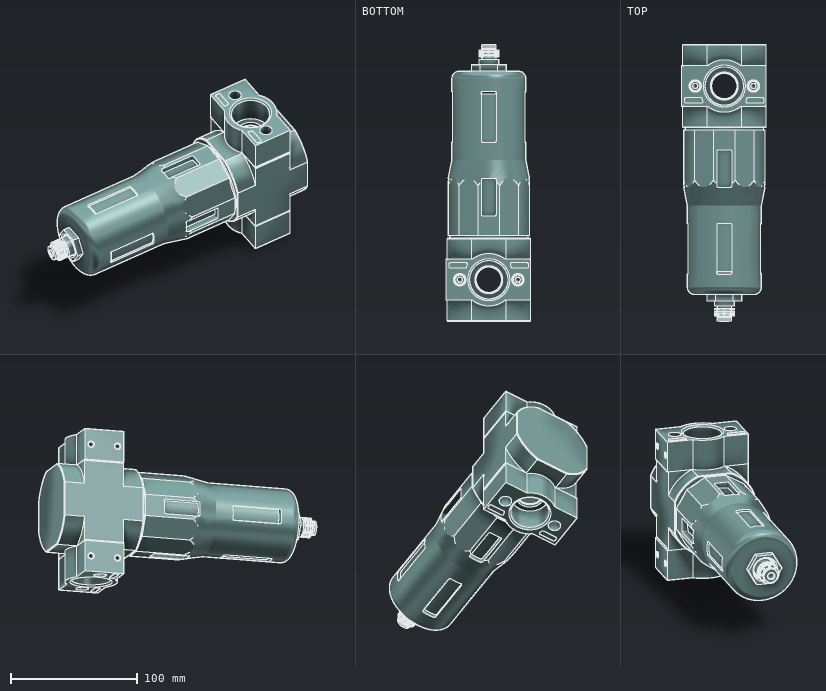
import cadquery as cq
import math


housing_half_x = 33.1
housing_half_z = 33.0
housing_half_y = 33.0
housing_flat_half = 13.5
housing_radius = math.hypot(housing_half_x, housing_flat_half)
housing_edge_chamfer = 0.6
block_half_y = 16.2
block_edge_chamfer = 0.8
neck_diameter = 62.0
neck_length = 1.8
housing_bore_diameter = 20.0

flange_x_min = -34.0
flange_x_max = 33.0
flange_top_z = 58.0
flange_height = flange_top_z - housing_half_z
flange_boss_radius = 20.75
port_diameter = 30.29
port_mouth_diameter = 33.2
port_depth = 22.0
flange_bore_diameter = 22.0

screw_offset_x = 23.0
screw_diameter = 5.0
screw_head_diameter = 8.5
screw_head_height = 5.0
screw_head_chamfer = 0.6
screw_socket_width = 4.0
screw_socket_depth = 2.5
screw_socket_tip_depth = 1.2
screw_recess_diameter = 9.8
screw_recess_depth = 15.0
screw_reach = 10.0

side_hole_offset_y = 11.0
side_hole_diameter = 4.13
side_hole_mouth_diameter = 5.2
side_hole_depth = 10.0
side_hole_tip_depth = 1.2

label_y_min = -13.5
label_y_max = -9.2
label_outer_x = 31.4
label_inner_x = 16.5
label_slant = 1.4
label_corner_radius = 1.2
label_depth = 0.2

guard_top_y = -housing_half_y - neck_length
guard_side_count = 12
guard_half_width = 32.25
guard_corner_radius = guard_half_width / math.cos(math.pi / guard_side_count)
taper_corner_y = -74.4
taper_end_y = -94.7
guard_radius = 29.4
guard_end_y = -165.0
guard_end_fillet = 6.0
window_width = 11.8
window_corner_radius = 1.2
upper_window_ends = (-50.5, -80.1)
lower_window_ends = (-108.7, -148.8)

bowl_radius = 27.8
bowl_end_y = -147.1

hex_width = 24.0
hex_end_y = -170.2
hex_bore_diameter = 18.0
hex_mouth_diameter = 20.2

overall_length = 219.22
drain_end_y = housing_half_y - overall_length
collar_diameter = 15.8
collar_end_y = -174.2
stem_diameter = 11.4
rib_count = 3
rib_start_y = -176.0
rib_width = 1.3
rib_pitch = 2.25
rib_notch_count = 8
rib_notch_width = 1.2
rib_notch_root_diameter = 13.0
nozzle_neck_diameter = 11.0
nozzle_neck_y = -182.2
nozzle_lip_diameter = 11.6
nozzle_lip_y = -183.0
nozzle_tip_y = -184.2
nozzle_tip_diameter = 11.4
nozzle_cone_height = 0.4
drain_bore_diameter = 5.0
drain_mouth_diameter = 6.0
drain_bore_depth = 12.0


def cylinder_along_y(diameter, y_start, y_end):
    """Round bar on the filter axis that runs from y_start down to y_end."""
    start = cq.Workplane("XZ", origin=(0, y_start, 0))
    return start.circle(diameter / 2).extrude(y_start - y_end)


def cone_along_y(start_diameter, end_diameter, y_start, y_end):
    """Cone frustum on the filter axis that runs from y_start down to y_end."""
    start = cq.Vector(0, y_start, 0)
    towards_drain = cq.Vector(0, -1, 0)
    length = y_start - y_end
    return cq.Workplane(
        cq.Solid.makeCone(start_diameter / 2, end_diameter / 2, length, start, towards_drain)
    )


def cone_down_z(start_diameter, end_diameter, height, z):
    """Cone frustum (or pointed cone) on the Z axis that runs down from height z."""
    start = cq.Vector(0, 0, z)
    down = cq.Vector(0, 0, -1)
    return cq.Workplane(cq.Solid.makeCone(start_diameter / 2, end_diameter / 2, height, start, down))


def screw_shape():
    """Socket head screw, pointing down, with its head in the top flange."""
    head_top = flange_top_z - screw_recess_depth
    head_bottom = head_top - screw_head_height
    tip_z = housing_half_z - screw_reach
    head = cq.Workplane(origin=(0, 0, head_bottom)).circle(screw_head_diameter / 2).extrude(screw_head_height)
    head = head.faces(">Z").edges().chamfer(screw_head_chamfer)
    shank = cq.Workplane(origin=(0, 0, tip_z)).circle(screw_diameter / 2).extrude(head_bottom - tip_z)
    socket_corner_width = screw_socket_width / math.cos(math.pi / 6)
    socket = (
        cq.Workplane(origin=(0, 0, head_top))
        .polygon(6, socket_corner_width)
        .extrude(-screw_socket_depth)
    )
    socket_tip = cone_down_z(screw_socket_width, 0, screw_socket_tip_depth, head_top - screw_socket_depth)
    return head.union(shank).cut(socket).cut(socket_tip)


def screw_hole():
    """Stepped hole that takes one flange screw."""
    head_bottom = flange_top_z - screw_recess_depth - screw_head_height
    tip_z = housing_half_z - screw_reach
    recess = (
        cq.Workplane(origin=(0, 0, head_bottom))
        .circle(screw_recess_diameter / 2)
        .extrude(flange_top_z - head_bottom)
    )
    shank_hole = cq.Workplane(origin=(0, 0, tip_z)).circle(screw_diameter / 2).extrude(head_bottom - tip_z)
    return recess.union(shank_hole)


def at_screw_positions(top_shape):
    """Copies of a top-flange shape at the four screw places."""
    copies = []
    for x in (-screw_offset_x, screw_offset_x):
        top_copy = top_shape.translate((x, 0, 0))
        copies.append(top_copy)
        copies.append(top_copy.mirror("XY"))
    return copies


def side_hole(y):
    """Blind threaded hole in the -X face of the top flange, with a chamfered mouth and a pointed end."""
    radius = side_hole_diameter / 2
    mouth_radius = side_hole_mouth_diameter / 2
    hole_z = flange_top_z - flange_height / 2
    profile = (
        cq.Workplane("XY", origin=(flange_x_min, y, hole_z))
        .moveTo(0, 0)
        .lineTo(0, mouth_radius)
        .lineTo(mouth_radius - radius, radius)
        .lineTo(side_hole_depth, radius)
        .lineTo(side_hole_depth + side_hole_tip_depth, 0)
        .close()
    )
    return profile.revolve(360, (0, 0, 0), (1, 0, 0))


def label_recess(side):
    """Shallow label field in the top flange face; side is -1 or +1 along X."""
    return (
        cq.Workplane(origin=(0, 0, flange_top_z))
        .moveTo(side * label_outer_x, label_y_min)
        .lineTo(side * label_inner_x, label_y_min)
        .lineTo(side * (label_inner_x + label_slant), label_y_max)
        .lineTo(side * label_outer_x, label_y_max)
        .close()
        .extrude(-label_depth)
        .edges("|Z")
        .fillet(label_corner_radius)
    )


def make_flange():
    """Top connection flange: rectangular plate with a round boss and a threaded port."""
    base = cq.Workplane(origin=(0, 0, housing_half_z))
    plate = base.center((flange_x_min + flange_x_max) / 2, 0)
    plate = plate.rect(flange_x_max - flange_x_min, 2 * block_half_y).extrude(flange_height)
    flange = plate.union(base.circle(flange_boss_radius).extrude(flange_height))
    flange = flange.cut(base.circle(flange_bore_diameter / 2).extrude(flange_height))
    port = cq.Workplane(origin=(0, 0, flange_top_z)).circle(port_diameter / 2).extrude(-port_depth)
    mouth_depth = (port_mouth_diameter - port_diameter) / 2
    flange = flange.cut(port)
    flange = flange.cut(cone_down_z(port_mouth_diameter, port_diameter, mouth_depth, flange_top_z))
    for y in (-side_hole_offset_y, side_hole_offset_y):
        flange = flange.cut(side_hole(y))
    for side in (-1, 1):
        flange = flange.cut(label_recess(side))
    for hole in at_screw_positions(screw_hole()):
        flange = flange.cut(hole)
    return flange


def make_housing():
    """Barrel with four flats, a full square block at mid length and a neck towards the guard."""
    barrel = cylinder_along_y(2 * housing_radius, housing_half_y, -housing_half_y)
    envelope = cq.Workplane().box(2 * housing_half_x, 2 * housing_half_y, 2 * housing_half_z)
    barrel = barrel.intersect(envelope)
    barrel = barrel.faces("<Y or >Y").edges().chamfer(housing_edge_chamfer)
    block = cq.Workplane().box(2 * housing_half_x, 2 * block_half_y, 2 * housing_half_z)
    block = block.edges("|Y").chamfer(block_edge_chamfer)
    neck = cylinder_along_y(neck_diameter, -housing_half_y, guard_top_y)
    housing = barrel.union(block).union(neck)
    bore = cq.Workplane().circle(housing_bore_diameter / 2).extrude(housing_half_z, both=True)
    housing = housing.cut(bore)
    for hole in at_screw_positions(screw_hole()):
        housing = housing.cut(hole)
    return housing


def window_cutter(ends):
    """Cross of two rounded bars that opens one window on each of the +-X and +-Z sides."""
    first_y, last_y = ends
    reach = 2 * guard_corner_radius
    bar = (
        cq.Workplane()
        .box(window_width, first_y - last_y, reach)
        .edges("|Z")
        .fillet(window_corner_radius)
        .translate((0, (first_y + last_y) / 2, 0))
    )
    turned_bar = bar.rotate((0, 0, 0), (0, 1, 0), 90)
    return bar.union(turned_bar).cut(cylinder_along_y(2 * bowl_radius, first_y, last_y))


def make_guard():
    """Twelve-sided sleeve that tapers to a round cup, with windows and an end hexagon."""
    taper_slope = (guard_corner_radius - guard_radius) / (taper_corner_y - taper_end_y)
    top_radius = guard_radius + taper_slope * (guard_top_y - taper_end_y)
    outer = (
        cq.Workplane("XY")
        .moveTo(0, guard_top_y)
        .lineTo(top_radius, guard_top_y)
        .lineTo(guard_radius, taper_end_y)
        .lineTo(guard_radius, guard_end_y)
        .lineTo(0, guard_end_y)
        .close()
        .revolve(360, (0, 0, 0), (0, 1, 0))
        .faces("<Y")
        .edges()
        .fillet(guard_end_fillet)
    )
    half_side_angle = 180 / guard_side_count
    prism = (
        cq.Workplane("XZ", origin=(0, guard_top_y, 0))
        .polygon(guard_side_count, 2 * guard_corner_radius)
        .extrude(guard_top_y - guard_end_y)
        .rotate((0, 0, 0), (0, 1, 0), half_side_angle)
    )
    guard = outer.intersect(prism)
    guard = guard.cut(cylinder_along_y(2 * bowl_radius, guard_top_y, bowl_end_y))
    for ends in (upper_window_ends, lower_window_ends):
        guard = guard.cut(window_cutter(ends))
    hexagon = (
        cq.Workplane("XZ", origin=(0, guard_end_y, 0))
        .polygon(6, hex_width / math.cos(math.pi / 6))
        .extrude(guard_end_y - hex_end_y)
    )
    guard = guard.union(hexagon)
    hex_bore = cylinder_along_y(hex_bore_diameter, guard_end_y, hex_end_y)
    mouth_depth = (hex_mouth_diameter - hex_bore_diameter) / 2
    mouth = cone_along_y(hex_bore_diameter, hex_mouth_diameter, hex_end_y + mouth_depth, hex_end_y)
    return guard.cut(hex_bore).cut(mouth)


def make_bowl():
    """Plain bowl that fills the guard and shows through its windows."""
    return cylinder_along_y(2 * bowl_radius, guard_top_y, bowl_end_y)


def make_drain():
    """Drain knob: collar, notched grip ribs and a nozzle with a bore."""
    drain = cylinder_along_y(collar_diameter, guard_end_y, collar_end_y)
    drain = drain.union(cylinder_along_y(stem_diameter, collar_end_y, nozzle_neck_y))
    for rib in range(rib_count):
        rib_y = rib_start_y - rib * rib_pitch
        drain = drain.union(cylinder_along_y(collar_diameter, rib_y, rib_y - rib_width))
    ribs_end_y = rib_start_y - (rib_count - 1) * rib_pitch - rib_width
    notch_depth = (collar_diameter - rib_notch_root_diameter) / 2
    notch = cq.Workplane().box(notch_depth, rib_start_y - ribs_end_y, rib_notch_width)
    notch = notch.translate(((rib_notch_root_diameter + notch_depth) / 2, (rib_start_y + ribs_end_y) / 2, 0))
    for step in range(rib_notch_count):
        drain = drain.cut(notch.rotate((0, 0, 0), (0, 1, 0), step * 360 / rib_notch_count))
    cone_start_y = drain_end_y + nozzle_cone_height
    drain = drain.union(cylinder_along_y(nozzle_neck_diameter, nozzle_neck_y, nozzle_lip_y))
    drain = drain.union(cylinder_along_y(nozzle_lip_diameter, nozzle_lip_y, nozzle_tip_y))
    drain = drain.union(cylinder_along_y(nozzle_tip_diameter, nozzle_tip_y, cone_start_y))
    drain = drain.union(cone_along_y(nozzle_tip_diameter, drain_mouth_diameter, cone_start_y, drain_end_y))
    mouth_depth = (drain_mouth_diameter - drain_bore_diameter) / 2
    mouth = cone_along_y(drain_bore_diameter, drain_mouth_diameter, drain_end_y + mouth_depth, drain_end_y)
    drain = drain.cut(mouth)
    return drain.cut(cylinder_along_y(drain_bore_diameter, drain_end_y + drain_bore_depth, drain_end_y))


housing = make_housing()
top_flange = make_flange()
bottom_flange = top_flange.mirror("XY")
guard = make_guard()
bowl = make_bowl()
drain = make_drain()
screws = at_screw_positions(screw_shape())

result = cq.Compound.makeCompound(
    [housing.val(), top_flange.val(), bottom_flange.val(), guard.val(), bowl.val(), drain.val()]
    + [screw.val() for screw in screws]
)